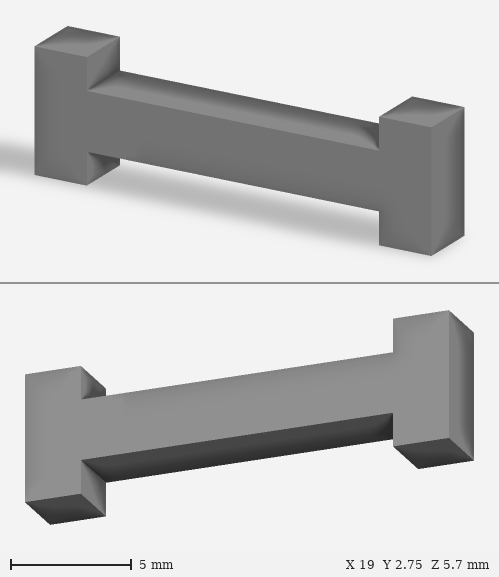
import cadquery as cq

length = 19.0
depth = 2.75
height = 5.7

end_length = 2.5
bar_height = 2.7


def end_block(side):
    """Full-height block at one end: side is -1 for -X, +1 for +X."""
    center_x = side * (length - end_length) / 2
    return cq.Workplane("XY").box(end_length, depth, height).translate((center_x, 0, 0))


bar = cq.Workplane("XY").box(length, depth, bar_height)
result = bar.union(end_block(-1)).union(end_block(1))